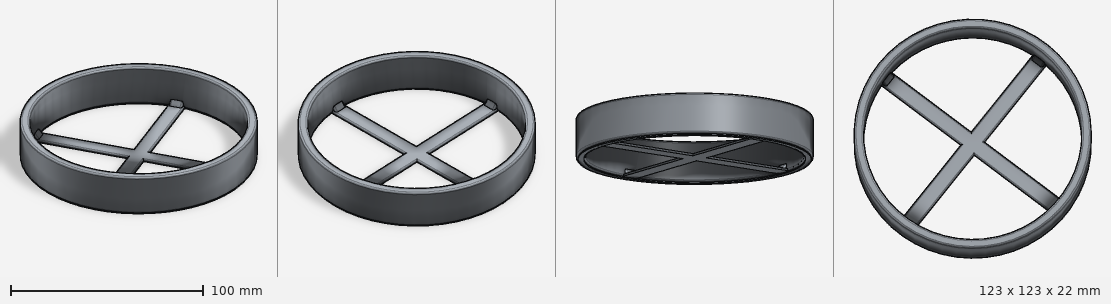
import cadquery as cq

outer_diameter = 123.0
inner_diameter = 113.0
height = 22.0
rim_round = 1.0
lip_height = 0.6

bar_width = 8.7
bar_thickness = 1.4
bar_edge_round = 0.7

gusset_run = 2.6
gusset_rise = 2.7
gusset_edge_round = 1.0

inner_radius = inner_diameter / 2
wall = (outer_diameter - inner_diameter) / 2
middle_radius = inner_radius + wall / 2
bar_top = lip_height + bar_thickness
gusset_width = bar_width - 2 * bar_edge_round


def make_ring():
    """Tube with rounded rims, standing on a foot as wide as its flat lower rim."""
    tube = (
        cq.Workplane("XY")
        .workplane(offset=lip_height)
        .circle(outer_diameter / 2)
        .circle(inner_radius)
        .extrude(height - lip_height)
        .faces("<Z or >Z")
        .edges()
        .fillet(rim_round)
    )
    lip = (
        cq.Workplane("XY")
        .circle(outer_diameter / 2 - rim_round)
        .circle(inner_radius + rim_round)
        .extrude(lip_height)
    )
    return tube.union(lip)


def make_cross():
    """Two crossed bars, rounded along the top and ending inside the ring wall."""
    length = 2 * middle_radius
    floor = cq.Workplane("XY").workplane(offset=lip_height)
    bar_x = floor.rect(length, bar_width).extrude(bar_thickness)
    bar_y = floor.rect(bar_width, length).extrude(bar_thickness)
    cross = bar_x.union(bar_y)
    trim = floor.circle(inner_radius + rim_round).extrude(bar_thickness)
    long_edges = cross.faces(">Z").edges("not(<X or >X or <Y or >Y)")
    return cross.newObject(long_edges.vals()).fillet(bar_edge_round).intersect(trim)


def make_gusset():
    """Ramp rising outward along +X, with rounded sides, ending inside the ring wall."""
    start = inner_radius - gusset_run
    end = middle_radius
    slope = gusset_rise / gusset_run
    end_height = bar_top + (end - start) * slope
    ramp = (
        cq.Workplane("XZ")
        .moveTo(start, bar_top)
        .lineTo(end, end_height)
        .lineTo(end, bar_top - bar_thickness / 2)
        .lineTo(start, bar_top - bar_thickness / 2)
        .close()
        .extrude(gusset_width / 2, both=True)
    )
    sloped_face = ramp.faces(cq.selectors.DirectionMinMaxSelector(cq.Vector(-slope, 0, 1), True))
    side_edges = sloped_face.edges("not |Y")
    return ramp.newObject(side_edges.vals()).fillet(gusset_edge_round)


result = make_ring().union(make_cross())
for quarter in range(4):
    gusset = make_gusset().rotate((0, 0, 0), (0, 0, 1), 90 * quarter)
    result = result.union(gusset)